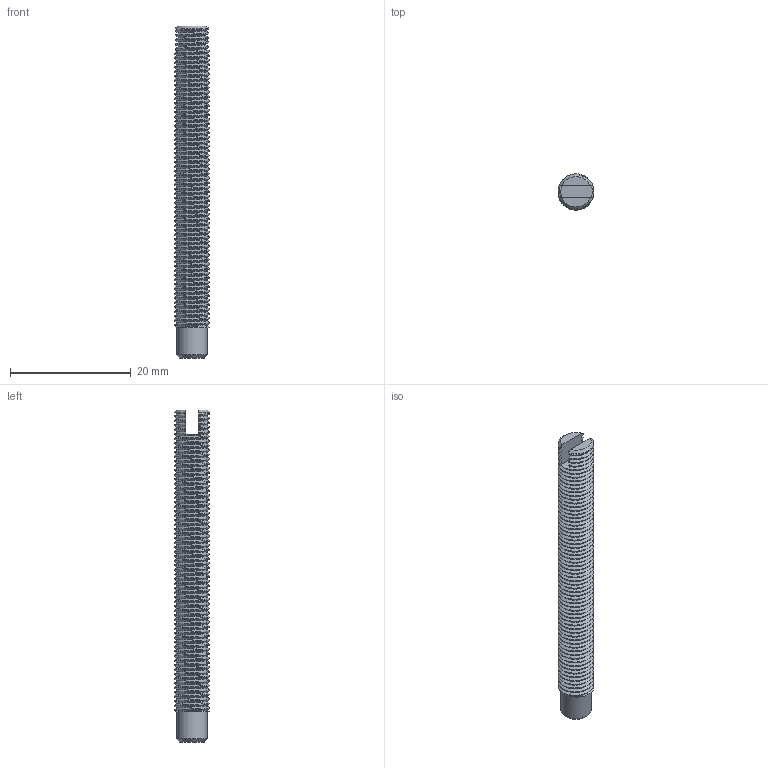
import cadquery as cq
import math

total_length = 55.0
major_diameter = 5.92
root_diameter = 5.05

thread_pitch = 0.75
flank_angle = 30.0
crest_start_angle = -28.0

point_diameter = 5.0
point_length = 5.0
point_chamfer = 0.5

slot_width = 2.0
slot_depth = 4.0

major_radius = major_diameter / 2
root_radius = root_diameter / 2
point_radius = point_diameter / 2
thread_depth = major_radius - root_radius
crest_width = thread_pitch / 8
ridge_base_width = crest_width + 2 * thread_depth * math.tan(math.radians(flank_angle))

end_chamfer = thread_depth
thread_top = total_length - end_chamfer
thread_length = thread_top - point_length

overrun_turns = 2
thread_turns = math.ceil(thread_length / thread_pitch) + 2 * overrun_turns
trim_clearance = 0.5


def make_turn(radius, height):
    """One turn of a right-hand helix as an edge, starting at the given height."""
    helix = cq.Wire.makeHelix(thread_pitch, thread_pitch, radius)
    return helix.translate(cq.Vector(0, 0, height)).Edges()[0]


def make_threaded_rod():
    """Solid rod with a helical ridge, closed turn by turn from helical strips."""
    ridge_corners = [
        (root_radius, -ridge_base_width / 2),
        (major_radius, -crest_width / 2),
        (major_radius, crest_width / 2),
        (root_radius, ridge_base_width / 2),
        (root_radius, thread_pitch - ridge_base_width / 2),
    ]
    strips = []
    for (radius_a, height_a), (radius_b, height_b) in zip(ridge_corners, ridge_corners[1:]):
        lower_edge = make_turn(radius_a, height_a)
        upper_edge = make_turn(radius_b, height_b)
        strips.append(cq.Face.makeRuledSurface(lower_edge, upper_edge))

    faces = []
    for turn in range(thread_turns):
        lift = cq.Vector(0, 0, turn * thread_pitch)
        faces += [strip.translate(lift) for strip in strips]

    first_height = ridge_corners[0][1]
    last_height = ridge_corners[-1][1]
    axis_edge = cq.Edge.makeLine(cq.Vector(0, 0, first_height), cq.Vector(0, 0, last_height))
    helicoid = cq.Face.makeRuledSurface(axis_edge, make_turn(*ridge_corners[0]))
    step_outline = [(0, first_height)] + ridge_corners + [(0, last_height)]
    step_points = [cq.Vector(radius, 0, height) for radius, height in step_outline]
    step = cq.Face.makeFromWires(cq.Wire.makePolygon(step_points, close=True))
    rod_rise = cq.Vector(0, 0, thread_turns * thread_pitch)
    faces += [helicoid, step, helicoid.translate(rod_rise), step.translate(rod_rise)]

    rod = cq.Solid.makeSolid(cq.Shell.makeShell(faces))
    rod = rod.rotate(cq.Vector(0, 0, 0), cq.Vector(0, 0, 1), crest_start_angle)
    start_height = point_length - overrun_turns * thread_pitch
    return cq.Workplane(obj=rod.translate(cq.Vector(0, 0, start_height)))


def make_trim_envelope():
    """Cylinder that squares off the thread at the shoulder and under the chamfered end."""
    envelope = cq.Workplane("XY").circle(major_radius + trim_clearance).extrude(thread_length)
    return envelope.translate((0, 0, point_length))


def make_chamfered_end():
    """Unthreaded 45 degree cone from the crest diameter down to the root diameter."""
    half_section = [
        (0, thread_top),
        (major_radius, thread_top),
        (root_radius, total_length),
        (0, total_length),
    ]
    outline = cq.Workplane("XZ").polyline(half_section).close()
    return outline.revolve(360, (0, 0, 0), (0, 1, 0))


def make_point():
    """Plain cylindrical dog point with a chamfered tip."""
    return cq.Workplane("XY").circle(point_radius).extrude(point_length).faces("<Z").chamfer(point_chamfer)


def make_slot():
    """Screwdriver slot through the full width of the top."""
    slot = cq.Workplane("XY").box(2 * major_diameter, slot_width, slot_depth, centered=(True, True, False))
    return slot.translate((0, 0, total_length - slot_depth))


threaded_shank = make_threaded_rod().intersect(make_trim_envelope())
result = threaded_shank.union(make_chamfered_end()).union(make_point()).cut(make_slot())